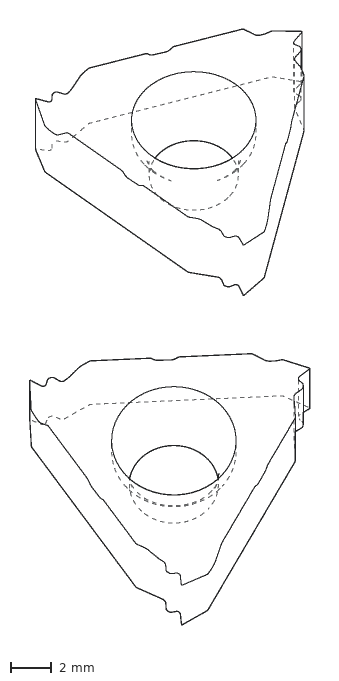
import cadquery as cq
import math

LOBE_ANGLES = (0, 120, 240)
THICKNESS = 4.35

EDGE_DISTANCE = 4.75
FLANK_DISTANCE = 6.92
RELIEF_DISTANCE = 6.06
CORNER_RADIUS = 0.25

TIP_Y = -0.035
TIP_RADIUS = 0.035
ROOT = (7.18, -0.07)
ROOT_RADIUS = 0.17
HUMP_FRONT = (7.26, -0.55)
HUMP_FRONT_RADIUS = 0.21
HUMP_BACK = (7.1, -0.75)
HUMP_BACK_RADIUS = 0.18
HEEL_RADIUS = 0.28

HOLE_DIAMETER = 4.4
COUNTERBORE_DIAMETER = 6.14
COUNTERBORE_DEPTH = 1.08
SEAT_RADIUS = 3.46
SEAT_BLEND_RADIUS = 0.41
SEAT_ANGLE = math.acos(
    1 - (COUNTERBORE_DIAMETER - HOLE_DIAMETER) / 2 / (SEAT_RADIUS + SEAT_BLEND_RADIUS)
)

TIP_X = 7.98
TIP_DROP = 0.39
RAKE_SLOPE_X = 0.22
RAKE_SLOPE_Y = -0.14
GULLET_DEPTH = 0.83
WALL_X = 5.99
WALL_SLOPE = math.radians(53)
WALL_SKEW = math.radians(1.7)
GULLET_RADIUS = 0.33
RIM_RADIUS = 0.17

NOTCH_END = (-3.49, -0.54)
NOTCH_ANGLE = -13.6
NOTCH_SLOPE = 11.0
NOTCH_FLOOR_WIDTH = 0.62
NOTCH_WALL_SLOPE = math.radians(45)
NOTCH_FILLET = 0.28
NOTCH_RIM_RADIUS = 0.14
NOTCH_SIDES = ((-4.29, 0.28), (-4.35, -0.9))
NOTCH_TOOL_HEIGHT = 1.1
NOTCH_TOOL_LENGTH = 2.77

REACH = 27.66


def side_crossing(angle_a, distance_a, angle_b, distance_b):
    """Point where two sides meet, each given by its normal angle and distance."""
    a = math.radians(angle_a)
    b = math.radians(angle_b)
    spread = math.sin(b - a)
    x = (distance_a * math.sin(b) - distance_b * math.sin(a)) / spread
    y = (distance_b * math.cos(a) - distance_a * math.cos(b)) / spread
    return x, y


def spin(point, angle):
    """Rotate a point in the XY plane about the part axis."""
    turn = math.radians(angle)
    x, y = point
    return (x * math.cos(turn) - y * math.sin(turn), x * math.sin(turn) + y * math.cos(turn))


def lobe_corners():
    """Corners of one lobe and their radii, counter-clockwise."""
    return [
        (side_crossing(-60, EDGE_DISTANCE, -30, RELIEF_DISTANCE), CORNER_RADIUS),
        (side_crossing(-30, RELIEF_DISTANCE, -90, -HUMP_BACK[1]), HEEL_RADIUS),
        (HUMP_BACK, HUMP_BACK_RADIUS),
        (HUMP_FRONT, HUMP_FRONT_RADIUS),
        (ROOT, ROOT_RADIUS),
        (side_crossing(-90, -TIP_Y, 30, FLANK_DISTANCE), TIP_RADIUS),
        (side_crossing(30, FLANK_DISTANCE, 60, EDGE_DISTANCE), CORNER_RADIUS),
    ]


def corner_arc(before, corner, after, radius):
    """Start, middle and end of the arc that rounds a corner."""
    vertex = cq.Vector(*corner)
    back = (cq.Vector(*before) - vertex).normalized()
    ahead = (cq.Vector(*after) - vertex).normalized()
    half_angle = back.getAngle(ahead) / 2
    setback = radius / math.tan(half_angle)
    bisector = (back + ahead).normalized()
    middle = vertex + bisector * (radius / math.sin(half_angle) - radius)
    return vertex + back * setback, middle, vertex + ahead * setback


def make_blank():
    """Prism with the rounded outline of all three lobes."""
    corners = [
        (spin(point, angle), radius) for angle in LOBE_ANGLES for point, radius in lobe_corners()
    ]
    arcs = []
    for i, (point, radius) in enumerate(corners):
        before = corners[i - 1][0]
        after = corners[(i + 1) % len(corners)][0]
        arcs.append(corner_arc(before, point, after, radius))
    outline = cq.Workplane("XY").moveTo(*arcs[-1][2].toTuple()[:2])
    for start, middle, end in arcs:
        outline = outline.lineTo(start.x, start.y)
        outline = outline.threePointArc((middle.x, middle.y), (end.x, end.y))
    return outline.close().extrude(THICKNESS)


def make_hole():
    """Revolved screw hole: counterbore, blend, convex seat and through bore."""
    hole_radius = HOLE_DIAMETER / 2
    bore_radius = COUNTERBORE_DIAMETER / 2
    blend_top = THICKNESS - COUNTERBORE_DEPTH
    seat_top = blend_top - SEAT_BLEND_RADIUS * math.sin(SEAT_ANGLE)
    seat_bottom = seat_top - SEAT_RADIUS * math.sin(SEAT_ANGLE)

    def blend_point(angle):
        return (
            bore_radius - SEAT_BLEND_RADIUS * (1 - math.cos(angle)),
            blend_top - SEAT_BLEND_RADIUS * math.sin(angle),
        )

    def seat_point(angle):
        return (
            hole_radius + SEAT_RADIUS * (1 - math.cos(angle)),
            seat_bottom + SEAT_RADIUS * math.sin(angle),
        )

    return (
        cq.Workplane("XZ")
        .lineTo(hole_radius, 0)
        .lineTo(hole_radius, seat_bottom)
        .threePointArc(seat_point(SEAT_ANGLE / 2), seat_point(SEAT_ANGLE))
        .threePointArc(blend_point(SEAT_ANGLE / 2), (bore_radius, blend_top))
        .lineTo(bore_radius, THICKNESS)
        .lineTo(0, THICKNESS)
        .close()
        .revolve(360, (0, 0), (0, 1))
    )


def space_beyond(origin, normal):
    """Large block on the side of a plane that its normal points to."""
    return cq.Workplane(cq.Plane(origin, normal=normal)).rect(REACH, REACH).extrude(REACH)


def make_gullet():
    """Space above the rake face and the level floor, outside the sloped wall."""
    above_rake = space_beyond(
        (TIP_X, 0, THICKNESS - TIP_DROP), (-RAKE_SLOPE_X, -RAKE_SLOPE_Y, 1)
    )
    above_floor = space_beyond((TIP_X, 0, THICKNESS - GULLET_DEPTH), (0, 0, 1))
    wall_normal = (
        math.sin(WALL_SLOPE) * math.cos(WALL_SKEW),
        math.sin(WALL_SLOPE) * math.sin(WALL_SKEW),
        math.cos(WALL_SLOPE),
    )
    outside_wall = space_beyond((WALL_X, 0, THICKNESS), wall_normal)
    gullet = above_rake.intersect(above_floor).intersect(outside_wall)
    rake_foot = cq.NearestToPointSelector((WALL_X, -REACH / 4, THICKNESS))
    floor_foot = cq.NearestToPointSelector((WALL_X, REACH / 4, THICKNESS - GULLET_DEPTH))
    return gullet.edges(rake_foot + floor_foot).fillet(GULLET_RADIUS)


def make_notch():
    """Ramped trough with sloped walls, rounded at the floor, fading out at the top face."""
    half_floor = NOTCH_FLOOR_WIDTH / 2 + NOTCH_FILLET * math.tan(NOTCH_WALL_SLOPE / 2)
    half_top = half_floor + NOTCH_TOOL_HEIGHT / math.tan(NOTCH_WALL_SLOPE)
    ramp = cq.Plane((0, 0, 0), xDir=(0, -1, 0), normal=(-1, 0, 0))
    trough = (
        cq.Workplane(ramp)
        .moveTo(-half_floor, 0)
        .lineTo(half_floor, 0)
        .lineTo(half_top, NOTCH_TOOL_HEIGHT)
        .lineTo(-half_top, NOTCH_TOOL_HEIGHT)
        .close()
        .extrude(NOTCH_TOOL_LENGTH)
        .edges("|X and <Z")
        .fillet(NOTCH_FILLET)
    )
    return (
        trough.rotate((0, 0, 0), (0, 1, 0), -NOTCH_SLOPE)
        .rotate((0, 0, 0), (0, 0, 1), NOTCH_ANGLE)
        .translate((NOTCH_END[0], NOTCH_END[1], THICKNESS))
    )


def round_top_edges(body, points, angle, radius):
    """Round the top-face edges nearest to some points of one lobe."""
    selected = []
    for point in points:
        target = (*spin(point, angle), THICKNESS)
        selected.extend(body.edges(cq.NearestToPointSelector(target)).vals())
    return body.newObject(selected).fillet(radius)


result = make_blank().cut(make_hole())
gullet = make_gullet()
notch = make_notch()
for angle in LOBE_ANGLES:
    result = result.cut(gullet.rotate((0, 0, 0), (0, 0, 1), angle))
    result = round_top_edges(result, [(WALL_X, 0)], angle, RIM_RADIUS)
    result = result.cut(notch.rotate((0, 0, 0), (0, 0, 1), angle))
    result = round_top_edges(result, NOTCH_SIDES, angle, NOTCH_RIM_RADIUS)